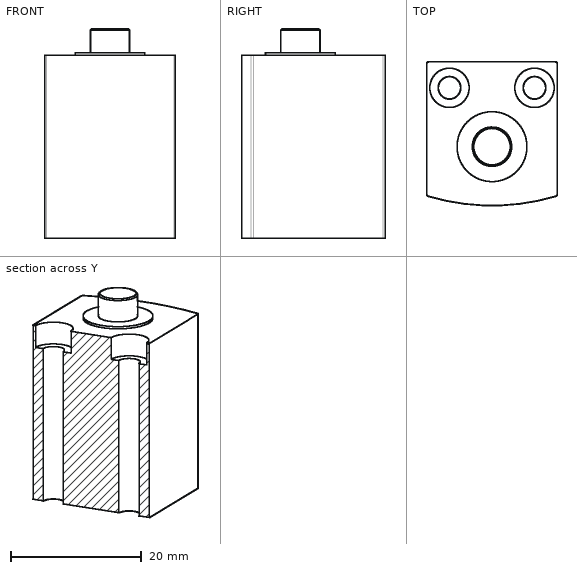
import cadquery as cq
import math

total_height = 32.0
width = 20.0
depth = 22.0
housing_height = 28.0

front_radius = 34.0
corner_radius = 0.4

hole_diameter = 3.4
counterbore_diameter = 6.0
counterbore_depth = 3.5
hole_spacing = 13.0
hole_from_back = 4.0

flange_diameter = 10.7
flange_thickness = 0.35
pin_diameter = 6.0
pin_chamfer = 0.22
pin_from_back = 13.0

back_y = pin_from_back
front_y = back_y - depth
half_width = width / 2
front_bulge = front_radius - math.sqrt(front_radius**2 - half_width**2)
front_corner_y = front_y + front_bulge


def make_housing():
    """Block with a bowed front face and two counterbored mounting holes."""
    block = (
        cq.Workplane("XY")
        .moveTo(-half_width, back_y)
        .lineTo(-half_width, front_corner_y)
        .threePointArc((0, front_y), (half_width, front_corner_y))
        .lineTo(half_width, back_y)
        .close()
        .extrude(housing_height)
        .edges("|Z")
        .fillet(corner_radius)
    )
    hole_y = back_y - hole_from_back
    return (
        block.faces(">Z")
        .workplane(origin=(0, 0, housing_height))
        .pushPoints([(side * hole_spacing / 2, hole_y) for side in (-1, 1)])
        .cboreHole(hole_diameter, counterbore_diameter, counterbore_depth)
    )


def make_plunger():
    """Pin with a thin flange resting on the housing's top face."""
    pin_height = total_height - housing_height
    flange = (
        cq.Workplane("XY", origin=(0, 0, housing_height))
        .circle(flange_diameter / 2)
        .extrude(flange_thickness)
    )
    pin = (
        cq.Workplane("XY", origin=(0, 0, housing_height))
        .circle(pin_diameter / 2)
        .extrude(pin_height)
        .faces(">Z")
        .chamfer(pin_chamfer)
    )
    return flange.union(pin)


housing = make_housing()
plunger = make_plunger()

result = cq.Compound.makeCompound([housing.solids().val(), plunger.solids().val()])